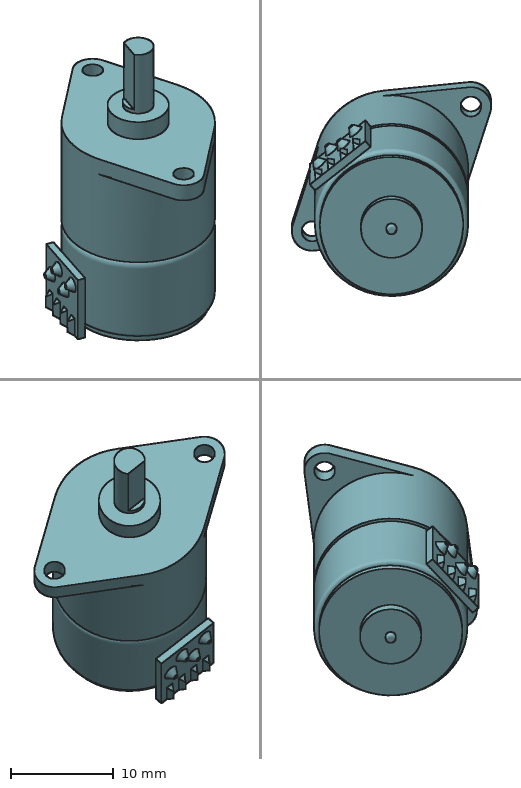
import cadquery as cq
import math

total_height = 31.5
boss_top = 24.57
flange_top = 22.55
flange_thickness = 1.8
groove_height = 11.1
can_bottom = 2.17
end_cap_bottom = 1.5
rear_boss_bottom = 0.57

can_radius = 7.5
can_top_fillet = 0.75
can_bottom_fillet = 0.45
end_cap_radius = 7.0
boss_radius = 3.0
shaft_radius = 1.5
shaft_flat_offset = 1.0
shaft_flat_length = 6.5
tip_radius = 0.5
tip_fillet = 0.25

hole_offset = 10.02
hole_radius = 1.0
ear_radius = 2.0

board_size = 7.0
board_thickness = 0.8
board_bottom = end_cap_bottom
board_back = -can_radius
board_face = board_back - board_thickness

cone_count = 4
cone_pitch = 1.5
cone_base_radius = 0.75
cone_tip_radius = 0.25
cone_length = 0.72
low_cone_height = 4.2
cone_row_spacing = 1.5

pad_count = 4
pad_pitch = 1.6
pad_width = 0.8
pad_length = 2.02
pad_rise = 0.6


def cylinder(radius, bottom, top):
    return cq.Workplane("XY").workplane(offset=bottom).circle(radius).extrude(top - bottom)


def make_flange():
    """Two ears joined to the central circle by tangent lines."""
    tangent_sine = (can_radius - ear_radius) / hole_offset
    tangent_cosine = math.sqrt(1 - tangent_sine**2)
    side_x = can_radius * tangent_sine
    side_y = can_radius * tangent_cosine
    ear_x = hole_offset + ear_radius * tangent_sine
    ear_y = ear_radius * tangent_cosine
    ear_end = hole_offset + ear_radius
    return (
        cq.Workplane("XY")
        .workplane(offset=flange_top - flange_thickness)
        .moveTo(-side_x, side_y)
        .threePointArc((0, can_radius), (side_x, side_y))
        .lineTo(ear_x, ear_y)
        .threePointArc((ear_end, 0), (ear_x, -ear_y))
        .lineTo(side_x, -side_y)
        .threePointArc((0, -can_radius), (-side_x, -side_y))
        .lineTo(-ear_x, -ear_y)
        .threePointArc((-ear_end, 0), (-ear_x, ear_y))
        .close()
        .extrude(flange_thickness)
        .pushPoints([(-hole_offset, 0), (hole_offset, 0)])
        .circle(hole_radius)
        .cutThruAll()
    )


def make_shaft():
    """Output shaft with a flat on its -Y side, open at the top."""
    shaft = cylinder(shaft_radius, boss_top, total_height)
    flat_cut = (
        cq.Workplane("XY")
        .workplane(offset=total_height - shaft_flat_length)
        .center(0, -shaft_flat_offset - shaft_radius / 2)
        .rect(2 * shaft_radius, shaft_radius)
        .extrude(shaft_flat_length)
    )
    return shaft.cut(flat_cut)


def make_rear_tip():
    """Short round stub below the rear boss, rounded at its end."""
    stub = cylinder(tip_radius, 0, rear_boss_bottom)
    return stub.faces("<Z").edges().fillet(tip_fillet)


def make_motor():
    lower_can = (
        cylinder(can_radius, can_bottom, groove_height)
        .faces(">Z").edges().fillet(can_top_fillet)
        .faces("<Z").edges().fillet(can_bottom_fillet)
    )
    return (
        cylinder(can_radius, groove_height, flange_top)
        .union(lower_can)
        .union(make_flange())
        .union(cylinder(boss_radius, flange_top, boss_top))
        .union(make_shaft())
        .union(cylinder(end_cap_radius, end_cap_bottom, can_bottom))
        .union(cylinder(boss_radius, rear_boss_bottom, end_cap_bottom))
        .union(make_rear_tip())
    )


def centred_positions(count, pitch):
    return [(index - (count - 1) / 2) * pitch for index in range(count)]


def make_solder_cone(x, z):
    return cq.Workplane(
        cq.Solid.makeCone(
            cone_base_radius, cone_tip_radius, cone_length, cq.Vector(x, board_face, z), cq.Vector(0, -1, 0)
        )
    )


def make_pad(x):
    """Ridge with sloping ends: a triangular prism trimmed by a trapezoidal one."""
    half_width = pad_width / 2
    ridge_y = board_face - pad_rise
    pad_top = board_bottom + pad_length
    ridge = (
        cq.Workplane("XY")
        .workplane(offset=board_bottom)
        .polyline([(x - half_width, board_face), (x + half_width, board_face), (x, ridge_y)])
        .close()
        .extrude(pad_length)
    )
    side_profile = [
        (board_face, board_bottom),
        (ridge_y, board_bottom + half_width),
        (ridge_y, pad_top - half_width),
        (board_face, pad_top),
    ]
    sloped_ends = (
        cq.Workplane("YZ").workplane(offset=x).polyline(side_profile).close().extrude(half_width, both=True)
    )
    return ridge.intersect(sloped_ends)


def make_terminal_board():
    board = cq.Workplane("XY").box(board_size, board_thickness, board_size, centered=(True, False, False))
    board = board.translate((0, board_face, board_bottom))
    for index, x in enumerate(centred_positions(cone_count, cone_pitch)):
        cone_height = low_cone_height + cone_row_spacing * (index % 2)
        board = board.union(make_solder_cone(x, board_bottom + cone_height))
    for x in centred_positions(pad_count, pad_pitch):
        board = board.union(make_pad(x))
    return board


motor = make_motor()
terminal_board = make_terminal_board()

result = cq.Compound.makeCompound([motor.val(), terminal_board.val()])